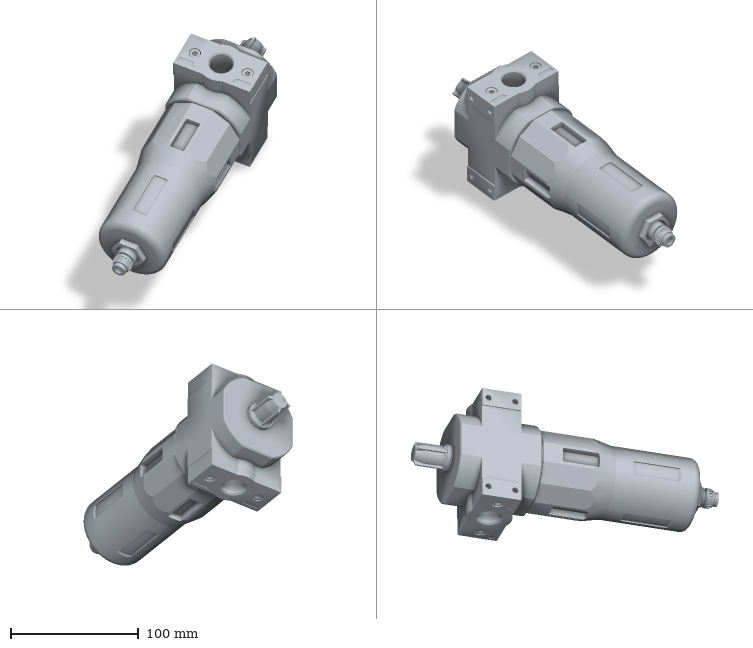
import cadquery as cq
import math


HALF_WIDTH = 33.0
BARREL_RADIUS = 35.7
BARREL_HALF_LENGTH = 33.3
BARREL_CHAMFER = 1.0
BLOCK_HALF_LENGTH = 16.1
NECK_RADIUS = 31.0
NECK_LENGTH = 1.2

PORT_DIAMETER = 18.5
PORT_CHAMFER = 1.2

PLATE_THICKNESS = 15.02
PLATE_LENGTH = 66.5
PLATE_OVERHANG = 1.0
PLATE_BULGE_RADIUS = 18.0
PLATE_END_X = -HALF_WIDTH - PLATE_OVERHANG
PLATE_CENTRE_X = PLATE_END_X + PLATE_LENGTH / 2
PLATE_TOP_Z = HALF_WIDTH + PLATE_THICKNESS

SIDE_HOLE_DIAMETER = 5.0
SIDE_HOLE_DEPTH = 5.0
SIDE_HOLE_Y = 11.0
SIDE_HOLE_Z = 40.0
DRILL_HALF_ANGLE = math.radians(59)

LABEL_OUTER = 31.3
LABEL_INNER = 16.5
LABEL_BEVEL = 2.2
LABEL_TOP_Y = -8.7
LABEL_BOTTOM_Y = -13.0
LABEL_CORNER_RADIUS = 1.0
LABEL_DEPTH = 0.5

SCREW_X = 22.8
SCREW_HEAD_DIAMETER = 8.5
SCREW_HEAD_HEIGHT = 5.0
SCREW_RECESS_DIAMETER = 9.5
SCREW_SINK = 0.5
SOCKET_CORNER_DIAMETER = 4.7
SOCKET_DEPTH = 2.0
SOCKET_TIP_RADIUS = 2.0
SOCKET_TIP_DEPTH = 1.2
SOCKET_RIM_DIAMETER = 6.0
SOCKET_RIM_DEPTH = 0.5

GUARD_TOP_Y = -BARREL_HALF_LENGTH - NECK_LENGTH
GRIP_SIDES = 12
GRIP_APOTHEM = 32.5
CONE_START_Y = -75.5
CONE_END_Y = -94.5
GUARD_RADIUS = 29.3
GUARD_BOTTOM_Y = -165.0
GUARD_BOTTOM_FILLET = 6.0
FOOT_ACROSS_FLATS = 24.3
FOOT_HEIGHT = 5.0
FOOT_RECESS_RADIUS = 10.2
FOOT_RECESS_FLOOR_RADIUS = 9.0
FOOT_RECESS_DEPTH = 3.0
GRIP_CORNER_RADIUS = GRIP_APOTHEM / math.cos(math.pi / GRIP_SIDES)
FOOT_BOTTOM_Y = GUARD_BOTTOM_Y - FOOT_HEIGHT
RECESS_FLOOR_Y = FOOT_BOTTOM_Y + FOOT_RECESS_DEPTH

WINDOW_WIDTH = 12.2
WINDOW_CORNER = 1.0
GRIP_WINDOW = (-50.5, -80.5)
GRIP_FLOOR_RADIUS = 27.5
SIGHT_WINDOW = (-109.0, -148.2)
SIGHT_FLOOR_RADIUS = 28.0
SIGHT_END_SLOPE = 1.5

DRAIN_COLLAR_RADIUS = 8.0
DRAIN_COLLAR_END_Y = -173.8
DRAIN_NECK_RADIUS = 6.0
KNURL_START_Y = -175.7
KNURL_FLANGE_END_Y = -177.5
KNURL_TAPER_Y = -179.7
KNURL_END_Y = -182.7
KNURL_END_RADIUS = 6.5
KNURL_GROOVES = 20
KNURL_GROOVE_WIDTH = 1.2
KNURL_GROOVE_DEPTH = 1.2
NOZZLE_RADIUS = 5.7
NOZZLE_GROOVE_RADIUS = 5.2
NOZZLE_RIM_Y = -184.2
DRAIN_END_Y = -186.2
DRAIN_HOLE_DIAMETER = 7.0
DRAIN_HOLE_DEPTH = 7.5

KNOB_COLLAR_RADIUS = 11.05
KNOB_COLLAR_END_Y = 37.2
KNOB_FLARE_END_Y = 39.5
KNOB_CORE_RADIUS = 8.5
KNOB_TAPER_Y = 53.9
KNOB_TOP_Y = 62.0
KNOB_TOP_RADIUS = 6.5
RIB_COUNT = 4
RIB_RADIUS = 10.3
RIB_THICKNESS = 1.7
RIB_SHOULDER_Y = 60.5


def along_y(start_y):
    """Plane square to the Y axis at start_y; extruding from it goes toward -Y."""
    return cq.Workplane("XZ", origin=(0, start_y, 0))


def turned(profile):
    """Solid of revolution about the Y axis from (radius, y) points; the axis closes it."""
    points = [(0, profile[0][1])] + profile + [(0, profile[-1][1])]
    return cq.Workplane("XY").polyline(points).close().revolve(360, (0, 0, 0), (0, 1, 0))


def quarter_turns(shape):
    """The shape and its three copies turned about the Y axis."""
    return [shape.rotate((0, 0, 0), (0, 1, 0), 90 * i) for i in range(4)]


def port_bore():
    return cq.Workplane("XY").circle(PORT_DIAMETER / 2).extrude(PLATE_TOP_Z, both=True)


def make_housing():
    width = 2 * HALF_WIDTH
    barrel = along_y(BARREL_HALF_LENGTH).rect(width, width).extrude(2 * BARREL_HALF_LENGTH)
    rounding = along_y(BARREL_HALF_LENGTH).circle(BARREL_RADIUS).extrude(2 * BARREL_HALF_LENGTH)
    barrel = barrel.intersect(rounding).faces("<Y or >Y").chamfer(BARREL_CHAMFER)
    block = cq.Workplane("XY").box(width, 2 * BLOCK_HALF_LENGTH, width)
    neck = along_y(-BARREL_HALF_LENGTH).circle(NECK_RADIUS).extrude(NECK_LENGTH)
    return barrel.union(block).union(neck).cut(port_bore())


def side_hole(y):
    """Drilled hole with a conical bottom, entering a plate from its -X end."""
    radius = SIDE_HOLE_DIAMETER / 2
    end_x = PLATE_END_X + SIDE_HOLE_DEPTH
    tip_x = end_x + radius / math.tan(DRILL_HALF_ANGLE)
    profile = [(PLATE_END_X, 0), (PLATE_END_X, radius), (end_x, radius), (tip_x, 0)]
    hole = cq.Workplane("XY").polyline(profile).close().revolve(360, (0, 0, 0), (1, 0, 0))
    return hole.translate((0, y, SIDE_HOLE_Z))


def label_pocket(side):
    """Shallow pocket at one end of a plate; its inner top corner is bevelled."""
    outline = [
        (side * LABEL_OUTER, LABEL_TOP_Y),
        (side * LABEL_OUTER, LABEL_BOTTOM_Y),
        (side * LABEL_INNER, LABEL_BOTTOM_Y),
        (side * (LABEL_INNER + LABEL_BEVEL), LABEL_TOP_Y),
    ]
    pocket = cq.Workplane("XY").polyline(outline).close().extrude(-LABEL_DEPTH)
    pocket = pocket.edges("|Z").edges(">Y").fillet(LABEL_CORNER_RADIUS)
    return pocket.translate((PLATE_CENTRE_X, 0, PLATE_TOP_Z))


def make_plate():
    """Plate on the +Z side."""
    base = cq.Workplane("XY", origin=(0, 0, HALF_WIDTH))
    plate = base.center(PLATE_CENTRE_X, 0).rect(PLATE_LENGTH, 2 * BLOCK_HALF_LENGTH).extrude(PLATE_THICKNESS)
    plate = plate.union(base.circle(PLATE_BULGE_RADIUS).extrude(PLATE_THICKNESS))
    plate = plate.cut(port_bore())
    port_rim = cq.selectors.RadiusNthSelector(0)
    plate = plate.faces(">Z").edges(port_rim).chamfer(PORT_CHAMFER)
    for side in (-1, 1):
        recess = cq.Workplane("XY", origin=(side * SCREW_X, 0, PLATE_TOP_Z))
        recess = recess.circle(SCREW_RECESS_DIAMETER / 2).extrude(-SCREW_SINK - SCREW_HEAD_HEIGHT)
        plate = plate.cut(recess).cut(side_hole(side * SIDE_HOLE_Y)).cut(label_pocket(side))
    return plate


def make_screw(side):
    """Socket screw of the +Z plate, standing on the floor of its recess."""
    head = cq.Workplane("XY", origin=(side * SCREW_X, 0, PLATE_TOP_Z - SCREW_SINK))
    screw = head.circle(SCREW_HEAD_DIAMETER / 2).extrude(-SCREW_HEAD_HEIGHT)
    socket = head.polygon(6, SOCKET_CORNER_DIAMETER).extrude(-SOCKET_DEPTH)
    tip = cq.Solid.makeCone(
        SOCKET_TIP_RADIUS, 0, SOCKET_TIP_DEPTH,
        cq.Vector(side * SCREW_X, 0, PLATE_TOP_Z - SCREW_SINK - SOCKET_DEPTH), cq.Vector(0, 0, -1),
    )
    rim = cq.Solid.makeCone(
        SOCKET_RIM_DIAMETER / 2, SOCKET_TIP_RADIUS, SOCKET_RIM_DEPTH,
        cq.Vector(side * SCREW_X, 0, PLATE_TOP_Z - SCREW_SINK), cq.Vector(0, 0, -1),
    )
    return screw.cut(socket).cut(cq.Workplane(tip)).cut(cq.Workplane(rim))


def window_prism(span):
    """Prism with rounded corners from the axis out through the +Z side of the guard."""
    start_y, end_y = span
    prism = cq.Workplane("XY").center(0, (start_y + end_y) / 2).rect(WINDOW_WIDTH, start_y - end_y)
    return prism.extrude(GRIP_CORNER_RADIUS).edges("|Z").fillet(WINDOW_CORNER)


def sight_end_wedge():
    """Material left at the lower end of the sight window, so that its end wall slopes."""
    end_y = SIGHT_WINDOW[1]
    slope = [(end_y, 0), (end_y + SIGHT_END_SLOPE, 0), (end_y + SIGHT_END_SLOPE, SIGHT_FLOOR_RADIUS),
             (end_y, GUARD_RADIUS)]
    return cq.Workplane("YZ").polyline(slope).close().extrude(WINDOW_WIDTH / 2, both=True)


def window_floor(radius):
    """Round core that the windows reach down to."""
    return along_y(GUARD_TOP_Y).circle(radius).extrude(GUARD_TOP_Y - GUARD_BOTTOM_Y)


def make_guard():
    envelope = turned([
        (GRIP_CORNER_RADIUS, GUARD_TOP_Y),
        (GRIP_CORNER_RADIUS, CONE_START_Y),
        (GUARD_RADIUS, CONE_END_Y),
        (GUARD_RADIUS, GUARD_BOTTOM_Y),
    ])
    envelope = envelope.faces("<Y").edges().fillet(GUARD_BOTTOM_FILLET)
    grip = along_y(GUARD_TOP_Y).polygon(GRIP_SIDES, 2 * GRIP_CORNER_RADIUS)
    grip = grip.extrude(GUARD_TOP_Y - GUARD_BOTTOM_Y).rotate((0, 0, 0), (0, 1, 0), 180 / GRIP_SIDES)
    guard = envelope.intersect(grip)

    grip_window = window_prism(GRIP_WINDOW).cut(window_floor(GRIP_FLOOR_RADIUS))
    sight_window = window_prism(SIGHT_WINDOW).cut(sight_end_wedge()).cut(window_floor(SIGHT_FLOOR_RADIUS))
    for window in quarter_turns(grip_window) + quarter_turns(sight_window):
        guard = guard.cut(window)

    foot_corner_diameter = FOOT_ACROSS_FLATS / math.cos(math.pi / 6)
    foot = along_y(GUARD_BOTTOM_Y).polygon(6, foot_corner_diameter).extrude(FOOT_HEIGHT)
    recess = turned([(FOOT_RECESS_FLOOR_RADIUS, RECESS_FLOOR_Y), (FOOT_RECESS_RADIUS, FOOT_BOTTOM_Y)])
    return guard.union(foot).cut(recess)


def make_drain():
    drain = turned([
        (DRAIN_COLLAR_RADIUS, RECESS_FLOOR_Y),
        (DRAIN_COLLAR_RADIUS, DRAIN_COLLAR_END_Y),
        (DRAIN_NECK_RADIUS, DRAIN_COLLAR_END_Y),
        (DRAIN_NECK_RADIUS, KNURL_START_Y),
        (DRAIN_COLLAR_RADIUS, KNURL_START_Y),
        (DRAIN_COLLAR_RADIUS, KNURL_TAPER_Y),
        (KNURL_END_RADIUS, KNURL_END_Y),
        (NOZZLE_GROOVE_RADIUS, KNURL_END_Y),
        (NOZZLE_GROOVE_RADIUS, NOZZLE_RIM_Y),
        (NOZZLE_RADIUS, NOZZLE_RIM_Y),
        (NOZZLE_RADIUS, DRAIN_END_Y),
    ])
    groove_length = KNURL_FLANGE_END_Y - KNURL_END_Y
    groove = cq.Workplane("XY").box(KNURL_GROOVE_WIDTH, groove_length, 2 * KNURL_GROOVE_DEPTH)
    groove = groove.translate((0, (KNURL_FLANGE_END_Y + KNURL_END_Y) / 2, DRAIN_COLLAR_RADIUS))
    for i in range(KNURL_GROOVES):
        drain = drain.cut(groove.rotate((0, 0, 0), (0, 1, 0), 360 * i / KNURL_GROOVES))

    hole = along_y(DRAIN_END_Y + DRAIN_HOLE_DEPTH).circle(DRAIN_HOLE_DIAMETER / 2).extrude(DRAIN_HOLE_DEPTH)
    return drain.cut(hole)


def make_knob():
    knob = turned([
        (KNOB_COLLAR_RADIUS, BARREL_HALF_LENGTH),
        (KNOB_COLLAR_RADIUS, KNOB_COLLAR_END_Y),
        (RIB_RADIUS, KNOB_COLLAR_END_Y),
        (KNOB_CORE_RADIUS, KNOB_FLARE_END_Y),
        (KNOB_CORE_RADIUS, KNOB_TAPER_Y),
        (KNOB_TOP_RADIUS, KNOB_TOP_Y),
    ])
    rib_envelope = turned([
        (RIB_RADIUS, KNOB_COLLAR_END_Y),
        (RIB_RADIUS, RIB_SHOULDER_Y),
        (KNOB_TOP_RADIUS, KNOB_TOP_Y),
    ])
    blade = along_y(KNOB_TOP_Y).center(RIB_RADIUS / 2, 0).rect(RIB_RADIUS, RIB_THICKNESS)
    rib = blade.extrude(KNOB_TOP_Y - KNOB_COLLAR_END_Y).intersect(rib_envelope)
    for i in range(RIB_COUNT):
        knob = knob.union(rib.rotate((0, 0, 0), (0, 1, 0), 360 * i / RIB_COUNT))
    return knob


housing = make_housing()
guard = make_guard()
drain = make_drain()
knob = make_knob()

upper_plate = make_plate()
upper_screws = [make_screw(side) for side in (-1, 1)]
plates = [upper_plate, upper_plate.mirror("XY")]
screws = upper_screws + [screw.mirror("XY") for screw in upper_screws]

bodies = [housing, guard, drain, knob] + plates + screws
result = cq.Compound.makeCompound([body.val() for body in bodies])